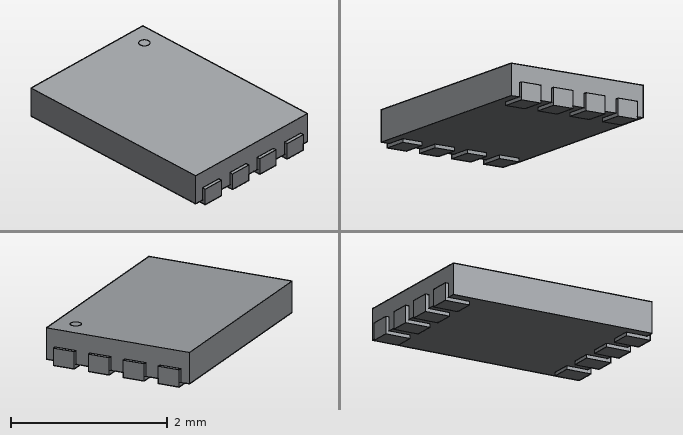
import cadquery as cq

overall_length = 3.05
overall_height = 0.48
body_width = 2.05

strap_thickness = 0.05
terminal_width = 0.3
terminal_height = 0.238
foot_length = 0.36
terminal_pitch = 0.5
terminals_per_side = 4

marker_diameter = 0.145
marker_depth = 0.02
marker_inset_x = 0.295
marker_inset_y = 0.275

body_length = overall_length - 2 * strap_thickness
body_height = overall_height - strap_thickness
marker_x = -body_length / 2 + marker_inset_x
marker_y = body_width / 2 - marker_inset_y


def make_marker():
    return (
        cq.Workplane("XY", origin=(marker_x, marker_y, overall_height - marker_depth))
        .circle(marker_diameter / 2)
        .extrude(marker_depth)
    )


def make_body(marker):
    block = (
        cq.Workplane("XY", origin=(0, 0, strap_thickness))
        .rect(body_length, body_width)
        .extrude(body_height)
    )
    return block.cut(marker)


def make_terminal(side, center_y):
    """L-shaped terminal on the -X (side = -1) or +X (side = 1) end."""
    outer_x = side * overall_length / 2
    inner_x = side * body_length / 2
    foot_end_x = side * (overall_length / 2 - foot_length)
    profile = [
        (outer_x, 0),
        (outer_x, terminal_height),
        (inner_x, terminal_height),
        (inner_x, strap_thickness),
        (foot_end_x, strap_thickness),
        (foot_end_x, 0),
    ]
    return (
        cq.Workplane("XZ", origin=(0, center_y, 0))
        .polyline(profile)
        .close()
        .extrude(terminal_width / 2, both=True)
    )


marker = make_marker()
body = make_body(marker)

terminals = []
for side in (-1, 1):
    for index in range(terminals_per_side):
        center_y = (index - (terminals_per_side - 1) / 2) * terminal_pitch
        terminals.append(make_terminal(side, center_y).val())

result = cq.Compound.makeCompound([body.val(), marker.val(), *terminals])